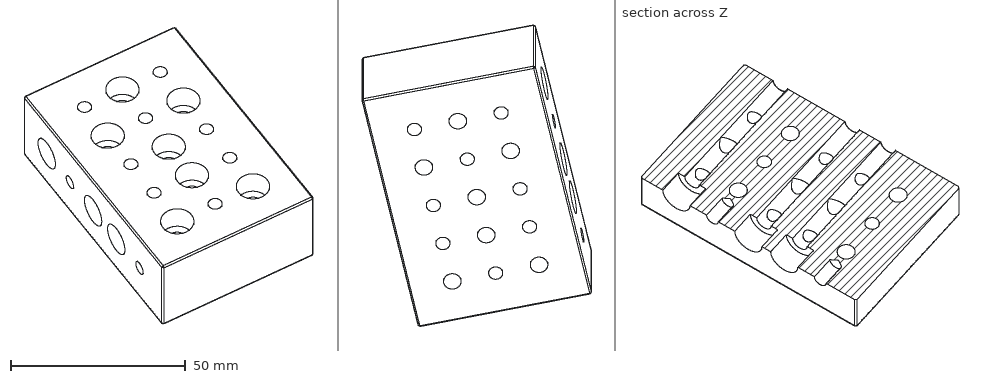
import cadquery as cq
import math

length = 76.2
pitch = length / 6
width = 4 * pitch
height = 2 * pitch
edge_chamfer = 0.5

clearance_diameter = 5.0
counterbore_diameter = 9.5
counterbore_depth = 7.6
tapped_diameter = 4.05
side_tapped_depth = 7.6
drill_tip_angle = 118.0

columns = range(-2, 3)
rows = range(-1, 2)
middle_row_counterbored = (-2, 0, 1)
outer_row_counterbored = (-1, 2)


def is_counterbored(column, row):
    if row == 0:
        return column in middle_row_counterbored
    return column in outer_row_counterbored


def drill_top_holes(block):
    """Drill the grid of vertical through holes, some of them counterbored."""
    counterbored = []
    plain = []
    for column in columns:
        for row in rows:
            group = counterbored if is_counterbored(column, row) else plain
            group.append((column * pitch, row * pitch))
    top = cq.Plane(origin=(0, 0, height / 2), normal=(0, 0, 1), xDir=(1, 0, 0))
    block = (
        block.copyWorkplane(cq.Workplane(top))
        .pushPoints(counterbored)
        .cboreHole(clearance_diameter, counterbore_diameter, counterbore_depth)
    )
    return block.copyWorkplane(cq.Workplane(top)).pushPoints(plain).hole(tapped_diameter)


def blind_drill():
    """Solid of a blind hole with a conical end, entering the front face at x = 0."""
    radius = tapped_diameter / 2
    tip_length = radius / math.tan(math.radians(drill_tip_angle / 2))
    front = -width / 2
    return (
        cq.Workplane("XY")
        .moveTo(0, front)
        .lineTo(radius, front)
        .lineTo(radius, front + side_tapped_depth)
        .lineTo(0, front + side_tapped_depth + tip_length)
        .close()
        .revolve(360, (0, 0, 0), (0, 1, 0))
    )


def drill_front_holes(block):
    """Drill counterbored through holes and blind holes along the front face."""
    front = cq.Plane(origin=(0, -width / 2, 0), normal=(0, -1, 0), xDir=(1, 0, 0))
    block = (
        block.copyWorkplane(cq.Workplane(front))
        .pushPoints([(column * pitch, 0) for column in middle_row_counterbored])
        .cboreHole(clearance_diameter, counterbore_diameter, counterbore_depth)
    )
    for column in columns:
        if column not in middle_row_counterbored:
            block = block.cut(blind_drill().translate((column * pitch, 0, 0)))
    return block


result = cq.Workplane("XY").box(length, width, height).edges().chamfer(edge_chamfer)
result = drill_top_holes(result)
result = drill_front_holes(result)